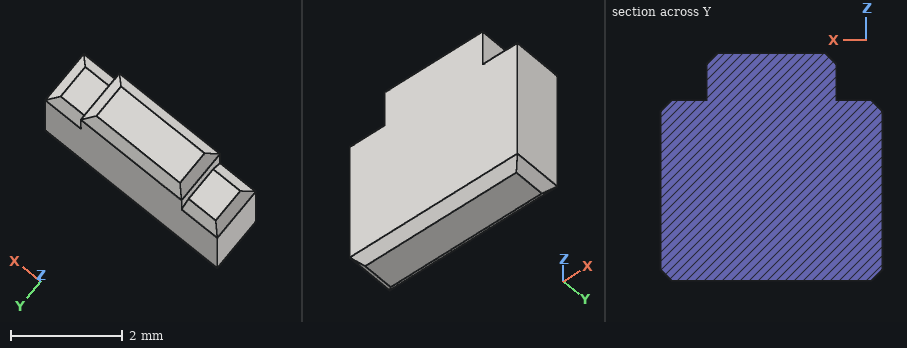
import cadquery as cq

width = 4.0
thickness = 1.1
total_height = 4.1

tab_width = 2.34
tab_rise = 0.85

chamfer = 0.2

body_height = total_height - tab_rise


def make_body():
    """Block standing on Z = 0, chamfered around its bottom and top faces."""
    block = cq.Workplane("XY").box(width, thickness, body_height, centered=(True, True, False))
    return block.faces("<Z or >Z").chamfer(chamfer)


def make_tab():
    """Full-thickness block chamfered around its top, rooted below the body's top chamfer."""
    root_depth = chamfer
    block = (
        cq.Workplane("XY")
        .workplane(offset=body_height - root_depth)
        .box(tab_width, thickness, tab_rise + root_depth, centered=(True, True, False))
    )
    return block.faces(">Z").chamfer(chamfer)


result = make_body().union(make_tab())